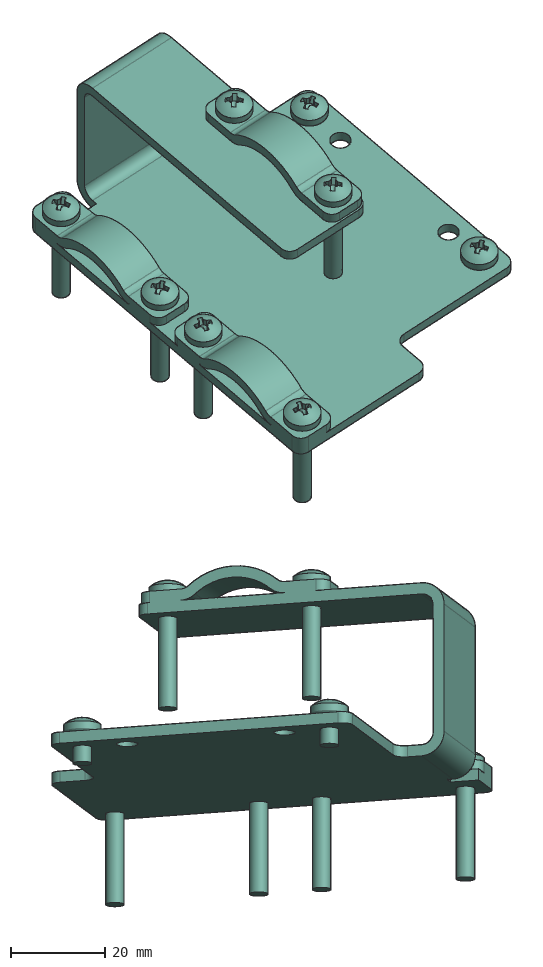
import cadquery as cq
import math

length = 88.0
sheet = 2.5
corner_radius = 2.5

front_depth = 36.1
total_depth = 70.0
rear_width = 66.9
hole_diameter = 4.5
hole_spacing = 35.0

arm_width = 22.3
arm_length = 68.55
arm_top = 37.8
bend_radius = 5.0
relief_width = 2.4
relief_length = 6.25

clip_length = 42.0
clip_width = 10.0
clip_screw_spacing = 32.0
arch_half_span = 11.5
arch_rise = 4.2
arch_foot_radius = 2.5
upper_clip_center = 47.1

shank_diameter = 4.0
head_diameter = 8.0
neck_diameter = 6.25
neck_height = 0.35
head_edge_radius = 0.35
rim_height = 2.4
head_height = 4.0
head_sink = 0.7
clip_screw_reach = 19.8
plate_screw_reach = 3.5
plate_screw_spacing = 55.0
rear_row_inset = 5.0
recess_span = 4.2
recess_slot = 1.0
recess_depth = 1.8
recess_core_diameter = 2.1
recess_tip_height = 0.6
rear_left_recess_angle = 22
rear_right_recess_angle = 30
left_clip_recess_angle = 30
right_clip_recess_angle = 73
upper_clip_recess_angle = 45


def mirrored_pair(center, spacing, y):
    return [(center - spacing / 2, y), (center + spacing / 2, y)]


def base_plate():
    rear_left = (length - rear_width) / 2
    front = cq.Workplane("XY").box(length, front_depth, sheet, centered=False)
    rear = (
        cq.Workplane("XY", origin=(rear_left, 0, 0))
        .box(rear_width, total_depth, sheet, centered=False)
    )
    plate = front.union(rear).edges("|Z").fillet(corner_radius)

    strip = (
        cq.Workplane("XY", origin=(0, front_depth - arm_width, 0))
        .box(bend_radius, arm_width, sheet, centered=False)
    )
    relief = (
        cq.Workplane("XY", origin=(0, front_depth - arm_width - relief_width, 0))
        .box(relief_length, relief_width, sheet, centered=False)
    )
    holes = (
        cq.Workplane("XY")
        .pushPoints(mirrored_pair(length / 2, hole_spacing, total_depth - rear_row_inset))
        .circle(hole_diameter / 2)
        .extrude(sheet)
    )
    return plate.cut(strip).cut(relief).cut(holes)


def arm():
    inner_radius = bend_radius - sheet
    strip = (
        cq.Workplane("XZ", origin=(0, front_depth, 0))
        .moveTo(bend_radius, 0)
        .radiusArc((0, bend_radius), bend_radius)
        .lineTo(0, arm_top - bend_radius)
        .radiusArc((bend_radius, arm_top), bend_radius)
        .lineTo(arm_length, arm_top)
        .lineTo(arm_length, arm_top - sheet)
        .lineTo(bend_radius, arm_top - sheet)
        .radiusArc((sheet, arm_top - bend_radius), -inner_radius)
        .lineTo(sheet, bend_radius)
        .radiusArc((bend_radius, sheet), -inner_radius)
        .close()
        .extrude(arm_width)
    )
    return strip.edges("|Z and >X").fillet(corner_radius)


def clip(center_x, front_y, seat_z):
    center_distance = (arch_half_span**2 + arch_rise**2) / (2 * arch_rise)
    arch_radius = center_distance - arch_foot_radius
    arch_center = sheet + arch_rise - arch_radius
    lean = math.asin(arch_half_span / center_distance)

    def tangent_point(radius, side):
        return (side * radius * math.sin(lean), arch_center + radius * math.cos(lean))

    half = clip_length / 2
    inner_radius = arch_radius - sheet
    under_radius = arch_foot_radius + sheet
    body = (
        cq.Workplane("XZ", origin=(center_x, front_y + clip_width, seat_z))
        .moveTo(-half, 0)
        .lineTo(-half, sheet)
        .lineTo(-arch_half_span, sheet)
        .radiusArc(tangent_point(arch_radius, -1), -arch_foot_radius)
        .radiusArc(tangent_point(arch_radius, 1), arch_radius)
        .radiusArc((arch_half_span, sheet), -arch_foot_radius)
        .lineTo(half, sheet)
        .lineTo(half, 0)
        .lineTo(arch_half_span, 0)
        .radiusArc(tangent_point(inner_radius, 1), under_radius)
        .radiusArc(tangent_point(inner_radius, -1), -inner_radius)
        .radiusArc((-arch_half_span, 0), under_radius)
        .close()
        .extrude(clip_width)
    )
    return body.edges("|Z and (<X or >X)").fillet(corner_radius)


def cross_recess():
    core_radius = recess_core_diameter / 2
    floor = head_height - recess_depth
    slot = (
        cq.Workplane("XZ", origin=(0, recess_slot / 2, 0))
        .moveTo(-recess_span / 2, head_height)
        .lineTo(recess_span / 2, head_height)
        .lineTo(core_radius, floor)
        .lineTo(-core_radius, floor)
        .close()
        .extrude(recess_slot)
    )
    core = (
        cq.Workplane("XZ")
        .moveTo(0, floor - recess_tip_height)
        .lineTo(core_radius, floor)
        .lineTo(core_radius, head_height)
        .lineTo(0, head_height)
        .close()
        .revolve(360, (0, 0), (0, 1))
    )
    return slot.union(slot.rotate((0, 0, 0), (0, 0, 1), 90)).union(core)


def screw(x, y, seat_z, shank_length, recess_angle):
    head_radius = head_diameter / 2
    crown_rise = head_height - rim_height
    crown_radius = (head_radius**2 + crown_rise**2) / (2 * crown_rise)
    body = (
        cq.Workplane("XZ")
        .moveTo(0, -shank_length)
        .lineTo(shank_diameter / 2, -shank_length)
        .lineTo(shank_diameter / 2, 0)
        .lineTo(neck_diameter / 2, 0)
        .lineTo(neck_diameter / 2, neck_height)
        .lineTo(head_radius - head_edge_radius, neck_height)
        .radiusArc((head_radius, neck_height + head_edge_radius), -head_edge_radius)
        .lineTo(head_radius, rim_height)
        .radiusArc((0, head_height), -crown_radius)
        .close()
        .revolve(360, (0, 0), (0, 1))
    )
    body = body.cut(cross_recess().rotate((0, 0, 0), (0, 0, 1), recess_angle))
    return body.translate((x, y, seat_z))


def fastened_clip(center_x, front_y, seat_z, recess_angle):
    assembly = clip(center_x, front_y, seat_z)
    screw_seat = seat_z + sheet - head_sink
    shank_length = screw_seat - (seat_z - sheet) + clip_screw_reach
    for x, y in mirrored_pair(center_x, clip_screw_spacing, front_y + clip_width / 2):
        assembly = assembly.union(screw(x, y, screw_seat, shank_length, recess_angle))
    return assembly


result = base_plate().union(arm())

clips = [
    (clip_length / 2, 0, sheet, left_clip_recess_angle),
    (length - clip_length / 2, 0, sheet, right_clip_recess_angle),
    (upper_clip_center, front_depth - clip_width, arm_top, upper_clip_recess_angle),
]
for center_x, front_y, seat_z, recess_angle in clips:
    result = result.union(fastened_clip(center_x, front_y, seat_z, recess_angle))

rear_screw_points = mirrored_pair(length / 2, plate_screw_spacing, total_depth - rear_row_inset)
rear_recess_angles = (rear_left_recess_angle, rear_right_recess_angle)
for (x, y), recess_angle in zip(rear_screw_points, rear_recess_angles):
    result = result.union(screw(x, y, sheet, sheet + plate_screw_reach, recess_angle))